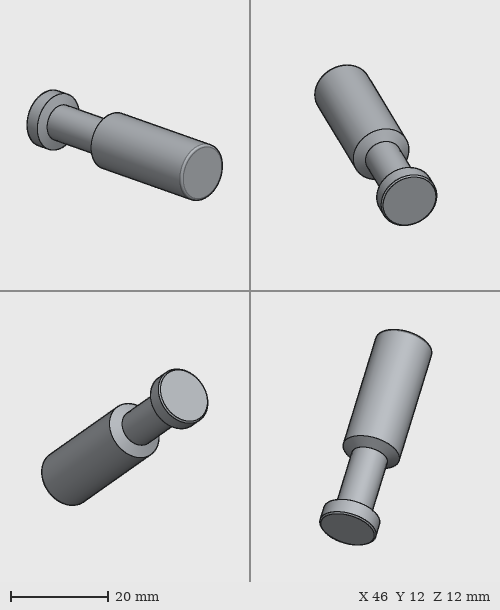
import cadquery as cq
import math

length = 46.0
outer_diameter = 12.0
neck_diameter = 7.6

head_edge = 3.4
neck_start = 4.0
neck_end = 17.95
body_start = 19.27

head_chamfer = 0.3
tip_radius = 0.5

outer_radius = outer_diameter / 2
neck_radius = neck_diameter / 2

tip_arc_reach = tip_radius * math.sqrt(0.5)
tip_arc_middle = (
    length - tip_radius + tip_arc_reach,
    outer_radius - tip_radius + tip_arc_reach,
)

profile = (
    cq.Workplane("XY")
    .moveTo(0, 0)
    .lineTo(0, outer_radius - head_chamfer)
    .lineTo(head_chamfer, outer_radius)
    .lineTo(head_edge, outer_radius)
    .lineTo(neck_start, neck_radius)
    .lineTo(neck_end, neck_radius)
    .lineTo(body_start, outer_radius)
    .lineTo(length - tip_radius, outer_radius)
    .threePointArc(tip_arc_middle, (length, outer_radius - tip_radius))
    .lineTo(length, 0)
    .close()
)

result = profile.revolve(360, (0, 0, 0), (1, 0, 0)).translate((-length / 2, 0, 0))